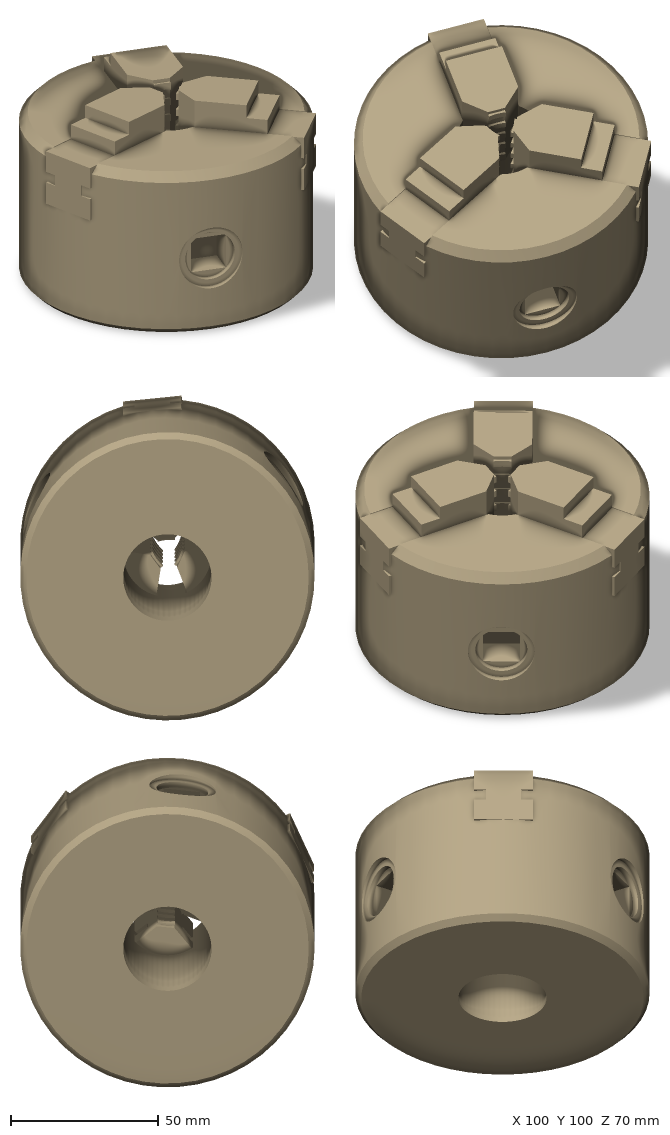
import cadquery as cq
import math

body_radius = 50
body_height = 60
bore_radius = 15
bottom_chamfer = 2
top_chamfer = 3

jaw_angles = (60, 180, 300)
jaw_width = 20
jaw_bottom_z = 40
jaw_top_z = 70
groove_bottom_z = 48
groove_top_z = 52
groove_depth = 4
ledge_z = 59.7
step_z = 65.2
step_outer_radius = 37.3
step_inner_radius = 30
tip_radius = 5
tip_width = 6

tooth_count = 5
tooth_pitch = 6
tooth_height = 2.5
first_tooth_z = 42.2
tooth_projection = 1
tooth_hollow = 0.3

socket_angles = (0, 120, 240)
socket_z = 27.6
recess_diameter = 22.7
recess_floor_radius = 48
pinion_diameter = 17.7
pinion_face_radius = 46
square_side = pinion_diameter / math.sqrt(2)
square_floor_radius = 36

cut_margin = 5


def turned(shape, angle):
    """Turn a shape about the chuck axis."""
    return shape.rotate((0, 0, 0), (0, 0, 1), angle)


def jaw_bar(inner_radius, outer_radius, top_z):
    """Bar along +X with a guide groove along each side."""
    length = outer_radius - inner_radius
    bar = (
        cq.Workplane("XY", origin=(inner_radius, 0, jaw_bottom_z))
        .box(length, jaw_width, top_z - jaw_bottom_z, centered=(False, True, False))
    )
    for side in (-1, 1):
        groove_centre_y = side * (jaw_width - groove_depth) / 2
        groove = (
            cq.Workplane("XY", origin=(inner_radius, groove_centre_y, groove_bottom_z))
            .box(length, groove_depth, groove_top_z - groove_bottom_z, centered=(False, True, False))
        )
        bar = bar.cut(groove)
    return bar


def key_socket():
    """Cutter for one pinion opening along +X: recess, round bore and square hole."""
    outer_end = body_radius + cut_margin

    def face(radius):
        return cq.Workplane("YZ", origin=(radius, 0, socket_z))

    recess = face(recess_floor_radius).circle(recess_diameter / 2).extrude(outer_end - recess_floor_radius)
    bore = face(pinion_face_radius).circle(pinion_diameter / 2).extrude(outer_end - pinion_face_radius)
    square = (
        face(square_floor_radius)
        .rect(square_side, square_side)
        .extrude(pinion_face_radius - square_floor_radius)
    )
    return recess.union(bore).union(square)


def make_body():
    body = (
        cq.Workplane("XY")
        .circle(body_radius)
        .extrude(body_height)
        .faces("<Z").edges().chamfer(bottom_chamfer)
        .faces(">Z").edges().chamfer(top_chamfer)
        .faces(">Z").workplane()
        .hole(2 * bore_radius)
    )
    slot = jaw_bar(0, body_radius + cut_margin, body_height + cut_margin)
    for angle in jaw_angles:
        body = body.cut(turned(slot, angle))
    socket = key_socket()
    for angle in socket_angles:
        body = body.cut(turned(socket, angle))
    return body


def pointed_blank():
    """Full-height jaw blank, pointed at 45 degrees down to the flat tip."""
    shoulder_radius = tip_radius + (jaw_width - tip_width) / 2
    return (
        cq.Workplane("XY", origin=(0, 0, jaw_bottom_z))
        .moveTo(body_radius, jaw_width / 2)
        .lineTo(shoulder_radius, jaw_width / 2)
        .lineTo(tip_radius, tip_width / 2)
        .lineTo(tip_radius, -tip_width / 2)
        .lineTo(shoulder_radius, -jaw_width / 2)
        .lineTo(body_radius, -jaw_width / 2)
        .close()
        .extrude(jaw_top_z - jaw_bottom_z)
    )


def step_cut(inner_radius, floor_z):
    """Cutter that lowers the jaw to floor_z outside inner_radius."""
    return (
        cq.Workplane("XY", origin=(inner_radius, 0, floor_z))
        .box(body_radius, jaw_width, jaw_top_z - floor_z, centered=(False, True, False))
    )


def tooth(bottom_z):
    """Tooth on the jaw tip with a concave gripping face."""
    end_radius = tip_radius - tooth_projection
    return (
        cq.Workplane("XY", origin=(0, 0, bottom_z))
        .moveTo(tip_radius, tip_width / 2)
        .lineTo(end_radius, tip_width / 2)
        .threePointArc((end_radius + tooth_hollow, 0), (end_radius, -tip_width / 2))
        .lineTo(tip_radius, -tip_width / 2)
        .close()
        .extrude(tooth_height)
    )


def make_jaw(angle):
    jaw = jaw_bar(0, body_radius, jaw_top_z).intersect(pointed_blank())
    jaw = jaw.cut(step_cut(step_inner_radius, step_z))
    jaw = jaw.cut(step_cut(step_outer_radius, ledge_z))
    for index in range(tooth_count):
        jaw = jaw.union(tooth(first_tooth_z + index * tooth_pitch))
    return turned(jaw, angle)


body = make_body()
jaws = [make_jaw(angle) for angle in jaw_angles]

result = cq.Compound.makeCompound([body.solids().val(), *[jaw.solids().val() for jaw in jaws]])